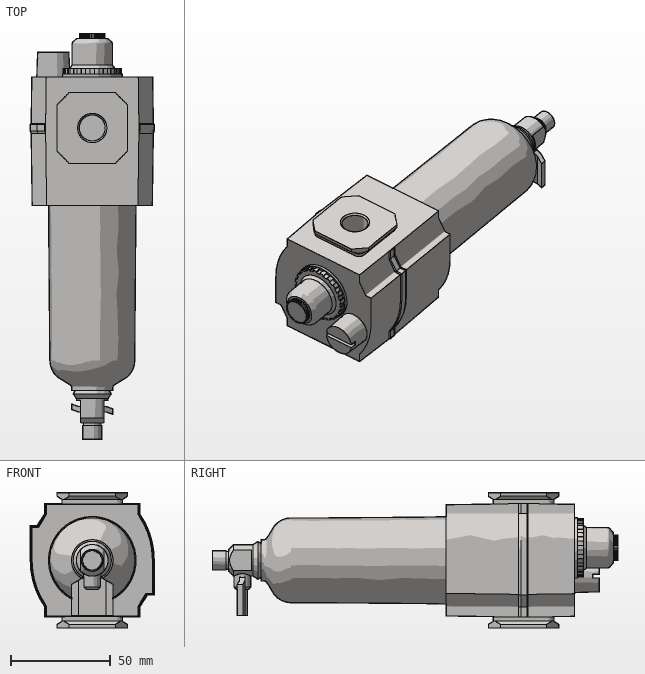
import cadquery as cq
import math


HOUSING_REAR = 25.6
HOUSING_FRONT = -38.9
HOUSING_HALF_WIDTH = 30.7
HOUSING_HALF_HEIGHT = 28.5
FLAT_SIDE_Z = 23.5
LEDGE_X = 27.3
LEDGE_Z = 17.0
SIDE_ARC_RADIUS = 41.1
DRAFT_ANGLE = 0.8

RIB_HEIGHT = 0.5
RIB_REAR = 1.6
RIB_FRONT = -1.5
RIB_REAR_SLOPE = 0.6
RIB_FRONT_SLOPE = 1.2

PORT_TOP = 34.0
PLATE_SIDE = 35.5
PLATE_RIM = 1.8
PLATE_CORNER_CUT = 6.1
STEM_SIDE = 30.5
STEM_TOP = 30.5
STEM_CORNER_RADIUS = 3.3
STEM_ROOT = 24.5
PORT_DIAMETER = 13.0
PORT_DEPTH = 18.3
PORT_CHAMFER = 0.8

BOWL_TOP_RADIUS = 22.0
BOWL_END_RADIUS = 21.4
DOME_START = -116.6
DOME_RADIUS = 10.8
DOME_END_RADIUS = 14.9
CONE_END_RADIUS = 11.2
CONE_END = -128.8
BOWL_NECK_RADIUS = 10.4
BOWL_NECK_START = -130.0
BOWL_END = -131.7

DRAIN_ROOT_RADIUS = 8.5
DRAIN_COLLAR_RADIUS = 9.5
DRAIN_COLLAR_Y = -133.3
DRAIN_BODY_START = -135.7
DRAIN_BODY_RADIUS = 8.0
DRAIN_BODY_END = -148.0
DRAIN_BODY_CHAMFER = 2.5
DRAIN_FLATS_START = -136.5
DRAIN_FLATS_WIDTH = 12.0
OUTLET_RADIUS = 4.9
OUTLET_NECK_RADIUS = 4.5
OUTLET_NECK_END = -149.2
DRAIN_END = -156.0

HANDLE_Y = -141.0
HANDLE_STEM_RADIUS = 4.3
HANDLE_STEM_BOTTOM = -14.7
HANDLE_STEM_CHAMFER = 1.2
HANDLE_BOTTOM = -27.7
WING_HALF_WIDTH = 10.4
WING_BEND_X = 7.0
WING_BEND_OFFSET = 1.2
WING_THICKNESS = 2.8
WING_TIP_Z = -12.0
WING_CENTRE_Z = -6.1

KNOB_Z = 6.3
NOTCH_OVERCUT = 2.0
KNOB_END = 47.5
KNOB_FLANGE_RADIUS = 15.0
KNOB_FLANGE_END = 27.0
GRIP_RADIUS = 14.7
GRIP_ROOT_RADIUS = 13.8
GRIP_END = 30.0
GRIP_NOTCHES = 20
GRIP_NOTCH_WIDTH = 2.2
KNOB_CONE_RADIUS = 11.4
KNOB_CONE_END = 31.5
KNOB_RADIUS = 10.2
KNOB_SIDE_END = 42.1
KNOB_SHOULDER_RADIUS = 9.5
KNOB_SHOULDER_END = 43.3
BUTTON_START = 45.0
KNOB_BEVEL_RADIUS = 7.7
BUTTON_RADIUS = 6.5
BUTTON_NOTCHES = 24
BUTTON_NOTCH_WIDTH = 0.8
BUTTON_NOTCH_DEPTH = 0.5

PLUG_X = -19.5
PLUG_Z = -8.0
PLUG_BASE_RADIUS = 8.3
PLUG_END_RADIUS = 8.0
PLUG_END = 38.0
SLOT_WIDTH = 1.8
SLOT_DEPTH = 3.3


def plane_facing_front(y):
    """Plane at the given Y whose normal points toward -Y."""
    return cq.Workplane("XZ", origin=(0, y, 0))


def plane_facing_rear(y):
    """Plane at the given Y whose normal points toward +Y; its local x is -X."""
    return cq.Workplane(cq.Plane(origin=(0, y, 0), xDir=(-1, 0, 0), normal=(0, 1, 0)))


def revolve_about_y(outline):
    """Turn a closed outline of (radius, Y) points about the Y axis."""
    return outline.close().revolve(360, (0, 0, 0), (0, 1, 0))


def housing_outline(plane, growth=0.0, half_height=HOUSING_HALF_HEIGHT):
    """Cross-section of the housing, alike after half a turn; growth swells its sides."""
    def side_arc_x(z):
        centre = HOUSING_HALF_WIDTH - SIDE_ARC_RADIUS
        return centre + math.sqrt(SIDE_ARC_RADIUS**2 - z**2) + growth

    flat = side_arc_x(FLAT_SIDE_Z)
    arc_middle = (side_arc_x(FLAT_SIDE_Z / 2), FLAT_SIDE_Z / 2)
    widest = HOUSING_HALF_WIDTH + growth
    ledge_x = LEDGE_X + growth
    ledge_z = LEDGE_Z + growth
    return (
        plane.moveTo(-flat, half_height)
        .lineTo(flat, half_height)
        .lineTo(flat, FLAT_SIDE_Z)
        .threePointArc(arc_middle, (widest, 0))
        .lineTo(widest, -ledge_z)
        .lineTo(ledge_x, -ledge_z)
        .lineTo(flat, -FLAT_SIDE_Z)
        .lineTo(flat, -half_height)
        .lineTo(-flat, -half_height)
        .lineTo(-flat, -FLAT_SIDE_Z)
        .threePointArc((-arc_middle[0], -arc_middle[1]), (-widest, 0))
        .lineTo(-widest, ledge_z)
        .lineTo(-ledge_x, ledge_z)
        .lineTo(-flat, FLAT_SIDE_Z)
        .close()
    )


def make_rib():
    """Raised band with sloped edges, kept below the drafted flat top and bottom of the housing."""
    farthest_foot = max(RIB_REAR + RIB_REAR_SLOPE, RIB_FRONT_SLOPE - RIB_FRONT)
    half_height = HOUSING_HALF_HEIGHT - farthest_foot * math.tan(math.radians(DRAFT_ANGLE))

    def outline(y, growth):
        return housing_outline(plane_facing_front(y), growth, half_height).val()

    def slope(top_y, foot_y):
        return cq.Workplane(cq.Solid.makeLoft(
            [outline(top_y, RIB_HEIGHT), outline(foot_y, 0)], True
        ))

    top_outline = housing_outline(plane_facing_front(RIB_REAR), RIB_HEIGHT, half_height)
    band = top_outline.extrude(RIB_REAR - RIB_FRONT)
    rear_slope = slope(RIB_REAR, RIB_REAR + RIB_REAR_SLOPE)
    front_slope = slope(RIB_FRONT, RIB_FRONT - RIB_FRONT_SLOPE)
    return band.union(rear_slope).union(front_slope)


def make_port_flange():
    """Bevelled plate on a rounded stem, on the top face."""
    stem = (
        cq.Workplane("XY", origin=(0, 0, STEM_ROOT))
        .rect(STEM_SIDE, STEM_SIDE)
        .extrude(STEM_TOP - STEM_ROOT)
        .edges("|Z").fillet(STEM_CORNER_RADIUS)
    )
    rim_bottom = PORT_TOP - PLATE_RIM
    bevel = (
        cq.Workplane("XY", origin=(0, 0, STEM_TOP))
        .rect(STEM_SIDE, STEM_SIDE)
        .workplane(offset=rim_bottom - STEM_TOP)
        .rect(PLATE_SIDE, PLATE_SIDE)
        .loft(ruled=True)
    )
    rim = (
        cq.Workplane("XY", origin=(0, 0, rim_bottom))
        .rect(PLATE_SIDE, PLATE_SIDE)
        .extrude(PLATE_RIM)
    )
    corner_envelope = (
        cq.Workplane("XY", origin=(0, 0, STEM_TOP))
        .rect(PLATE_SIDE, PLATE_SIDE)
        .extrude(PORT_TOP - STEM_TOP)
        .edges("|Z").chamfer(PLATE_CORNER_CUT)
    )
    return stem.union(bevel.union(rim).intersect(corner_envelope))


def make_port_hole():
    """Blind hole with a chamfered mouth, in the top port."""
    radius = PORT_DIAMETER / 2
    hole = cq.Workplane("XY", origin=(0, 0, PORT_TOP)).circle(radius).extrude(-PORT_DEPTH)
    mouth = (
        cq.Workplane("XY", origin=(0, 0, PORT_TOP))
        .circle(radius + PORT_CHAMFER)
        .workplane(offset=-PORT_CHAMFER)
        .circle(radius)
        .loft()
    )
    return hole.union(mouth)


def make_housing():
    front_half = housing_outline(plane_facing_front(0)).extrude(-HOUSING_FRONT, taper=DRAFT_ANGLE)
    rear_half = housing_outline(plane_facing_front(0)).extrude(-HOUSING_REAR, taper=DRAFT_ANGLE)
    housing = front_half.union(rear_half).union(make_rib())
    flange = make_port_flange()
    hole = make_port_hole()
    for turn in (0, 180):
        housing = housing.union(flange.rotate((0, 0, 0), (0, 1, 0), turn))
        housing = housing.cut(hole.rotate((0, 0, 0), (0, 1, 0), turn))
    return housing


def make_bowl():
    def dome_point(radius):
        centre = BOWL_END_RADIUS - DOME_RADIUS
        return (radius, DOME_START - math.sqrt(DOME_RADIUS**2 - (radius - centre)**2))

    return revolve_about_y(
        cq.Workplane("XY")
        .moveTo(0, HOUSING_FRONT)
        .lineTo(BOWL_TOP_RADIUS, HOUSING_FRONT)
        .lineTo(BOWL_END_RADIUS, DOME_START)
        .threePointArc(dome_point((BOWL_END_RADIUS + DOME_END_RADIUS) / 2), dome_point(DOME_END_RADIUS))
        .lineTo(CONE_END_RADIUS, CONE_END)
        .tangentArcPoint((BOWL_NECK_RADIUS, BOWL_NECK_START), relative=False)
        .lineTo(BOWL_NECK_RADIUS, BOWL_END)
        .lineTo(0, BOWL_END)
    )


def make_drain_body():
    """Turned valve body with two flats and a narrower outlet."""
    body = revolve_about_y(
        cq.Workplane("XY")
        .moveTo(0, BOWL_END)
        .lineTo(DRAIN_ROOT_RADIUS, BOWL_END)
        .lineTo(DRAIN_COLLAR_RADIUS, DRAIN_COLLAR_Y)
        .lineTo(DRAIN_BODY_RADIUS, DRAIN_BODY_START)
        .lineTo(DRAIN_BODY_RADIUS, DRAIN_BODY_END + DRAIN_BODY_CHAMFER)
        .lineTo(DRAIN_BODY_RADIUS - DRAIN_BODY_CHAMFER, DRAIN_BODY_END)
        .lineTo(OUTLET_NECK_RADIUS, DRAIN_BODY_END)
        .lineTo(OUTLET_NECK_RADIUS, OUTLET_NECK_END)
        .lineTo(OUTLET_RADIUS, OUTLET_NECK_END)
        .lineTo(OUTLET_RADIUS, DRAIN_END)
        .lineTo(0, DRAIN_END)
    )
    flats_length = DRAIN_FLATS_START - DRAIN_BODY_END
    flats_zone = plane_facing_front(DRAIN_FLATS_START).circle(DRAIN_COLLAR_RADIUS).extrude(flats_length)
    between_flats = (
        plane_facing_front(DRAIN_FLATS_START)
        .rect(DRAIN_FLATS_WIDTH, 2 * DRAIN_COLLAR_RADIUS)
        .extrude(flats_length)
    )
    return body.cut(flats_zone.cut(between_flats))


def make_drain_handle():
    """Round stem carrying a plate whose ends bend opposite ways in Y."""
    stem = (
        cq.Workplane("XY", origin=(0, HANDLE_Y, 0))
        .circle(HANDLE_STEM_RADIUS)
        .extrude(HANDLE_STEM_BOTTOM)
        .faces("<Z").chamfer(HANDLE_STEM_CHAMFER)
    )
    half = WING_THICKNESS / 2
    plate = (
        cq.Workplane("XY", origin=(0, HANDLE_Y, HANDLE_BOTTOM))
        .polyline([
            (-WING_HALF_WIDTH, WING_BEND_OFFSET - half),
            (-WING_BEND_X, -half),
            (WING_BEND_X, -half),
            (WING_HALF_WIDTH, -WING_BEND_OFFSET - half),
            (WING_HALF_WIDTH, -WING_BEND_OFFSET + half),
            (WING_BEND_X, half),
            (-WING_BEND_X, half),
            (-WING_HALF_WIDTH, WING_BEND_OFFSET + half),
        ])
        .close()
        .extrude(WING_CENTRE_Z - HANDLE_BOTTOM)
    )
    roof = (
        plane_facing_front(HANDLE_Y)
        .polyline([
            (-WING_HALF_WIDTH, HANDLE_BOTTOM),
            (WING_HALF_WIDTH, HANDLE_BOTTOM),
            (WING_HALF_WIDTH, WING_TIP_Z),
            (0, WING_CENTRE_Z),
            (-WING_HALF_WIDTH, WING_TIP_Z),
        ])
        .close()
        .extrude(WING_HALF_WIDTH, both=True)
    )
    return stem.union(plate.intersect(roof))


def make_drain():
    return make_drain_body().union(make_drain_handle())


def notch_ring(count, width, inner, outer, start, end):
    """Radial blocks, evenly spaced about the Y axis, that cut grip notches."""
    return (
        plane_facing_rear(start)
        .polarArray((inner + outer) / 2, 0, 360, count)
        .rect(outer - inner, width)
        .extrude(end - start)
    )


def make_knob():
    knob = revolve_about_y(
        cq.Workplane("XY")
        .moveTo(0, HOUSING_REAR)
        .lineTo(KNOB_FLANGE_RADIUS, HOUSING_REAR)
        .lineTo(KNOB_FLANGE_RADIUS, KNOB_FLANGE_END)
        .lineTo(GRIP_RADIUS, KNOB_FLANGE_END)
        .lineTo(GRIP_RADIUS, GRIP_END)
        .lineTo(KNOB_CONE_RADIUS, GRIP_END)
        .lineTo(KNOB_RADIUS, KNOB_CONE_END)
        .lineTo(KNOB_RADIUS, KNOB_SIDE_END)
        .tangentArcPoint((KNOB_SHOULDER_RADIUS, KNOB_SHOULDER_END), relative=False)
        .lineTo(KNOB_BEVEL_RADIUS, BUTTON_START)
        .lineTo(BUTTON_RADIUS, BUTTON_START)
        .lineTo(BUTTON_RADIUS, KNOB_END)
        .lineTo(0, KNOB_END)
    )
    grip = notch_ring(GRIP_NOTCHES, GRIP_NOTCH_WIDTH, GRIP_ROOT_RADIUS,
                      GRIP_RADIUS + NOTCH_OVERCUT, KNOB_FLANGE_END, GRIP_END)
    button = notch_ring(BUTTON_NOTCHES, BUTTON_NOTCH_WIDTH, BUTTON_RADIUS - BUTTON_NOTCH_DEPTH,
                        BUTTON_RADIUS + NOTCH_OVERCUT, BUTTON_START, KNOB_END)
    return knob.cut(grip).cut(button).translate((0, 0, KNOB_Z))


def make_plug():
    plug = revolve_about_y(
        cq.Workplane("XY")
        .moveTo(0, HOUSING_REAR)
        .lineTo(PLUG_BASE_RADIUS, HOUSING_REAR)
        .lineTo(PLUG_END_RADIUS, PLUG_END)
        .lineTo(0, PLUG_END)
    )
    slot = (
        plane_facing_front(PLUG_END)
        .rect(2 * PLUG_BASE_RADIUS, SLOT_WIDTH)
        .extrude(SLOT_DEPTH)
    )
    return plug.cut(slot).translate((PLUG_X, 0, PLUG_Z))


housing = make_housing()
bowl = make_bowl()
drain = make_drain()
knob = make_knob()
plug = make_plug()

result = cq.Compound.makeCompound([
    housing.val(),
    bowl.val(),
    drain.val(),
    knob.val(),
    plug.val(),
])